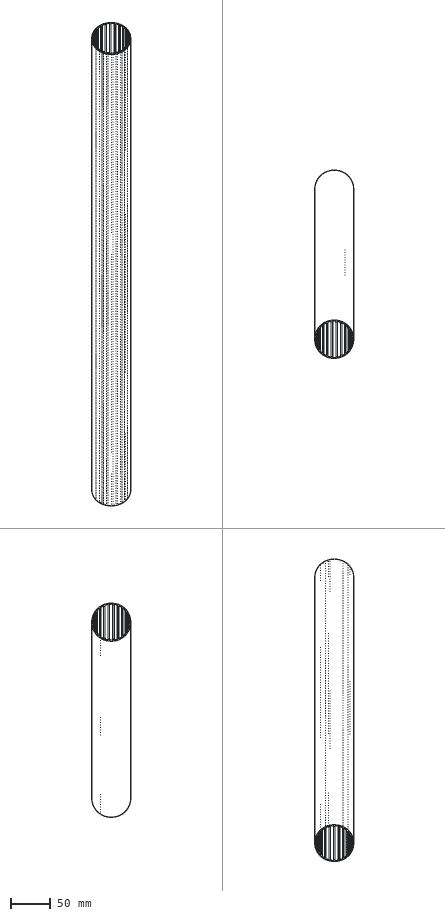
import cadquery as cq

length = 1000.0
outer_diameter = 50.0
wall = 1.5

rib_count = 24
rib_width = 2.0
rib_height = 1.0

outer_radius = outer_diameter / 2
bore_radius = outer_radius - wall
rib_tip_radius = bore_radius - rib_height


def make_tube():
    return (
        cq.Workplane("XY")
        .workplane(offset=-length / 2)
        .circle(outer_radius)
        .circle(bore_radius)
        .extrude(length)
    )


def make_ribs():
    root_radius = outer_radius - wall / 2
    return (
        cq.Workplane("XY")
        .workplane(offset=-length / 2)
        .polarArray((rib_tip_radius + root_radius) / 2, 0, 360, rib_count)
        .rect(root_radius - rib_tip_radius, rib_width)
        .extrude(length)
    )


result = make_tube().union(make_ribs())